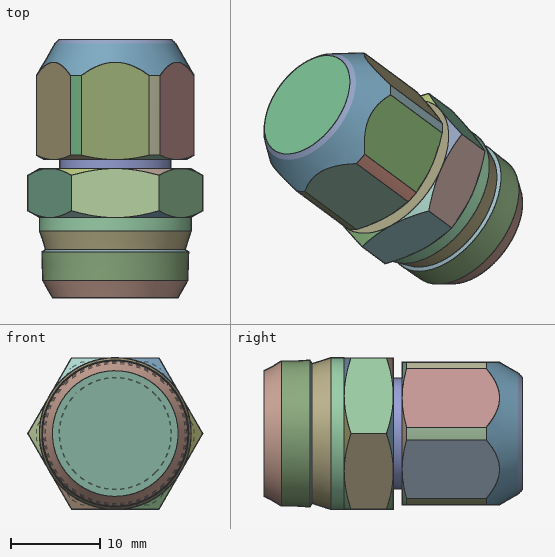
import cadquery as cq
import math


SPIGOT_CHAMFER_END = 1.95
SPIGOT_END = 5.15
SEAL_CONE_START = 5.4
SEAL_CONE_END = 7.5
BODY_HEX_START = 9.0
BODY_HEX_END = 14.5
NUT_START = 15.5
TOTAL_LENGTH = 29.0

SPIGOT_TIP_RADIUS = 7.05
SPIGOT_FRONT_RADIUS = 8.15
SPIGOT_REAR_RADIUS = 8.25
SEAL_CONE_SMALL_RADIUS = 7.85
COLLAR_RADIUS = 8.525
NECK_RADIUS = 6.25

BODY_ACROSS_FLATS = 17.0
NUT_ACROSS_FLATS = 16.0
NUT_CORNER_RADIUS = 8.86
HEX_CHAMFER_ANGLE = 30.0

NUT_RIM_RADIUS = 6.8
NUT_RIM_CHAMFER = 0.5
NUT_TAPER_ANGLE = 30.0


def tan_deg(angle):
    return math.tan(math.radians(angle))


def revolve_about_y(profile):
    """Turn (radius, y) points, closed along the axis, into a solid of revolution."""
    axis_closed = [(0, profile[0][1])] + profile + [(0, profile[-1][1])]
    return cq.Workplane("XY").polyline(axis_closed).close().revolve(360, (0, 0), (0, 1))


def hex_corner_radius(across_flats):
    """Distance from the axis to a sharp corner of a hexagon."""
    return across_flats / math.sqrt(3)


def hex_prism(across_flats, y_start, y_end):
    """Hexagonal prism along Y with two flats facing +Z and -Z."""
    return (
        cq.Workplane("XZ", origin=(0, y_start, 0))
        .polygon(6, 2 * hex_corner_radius(across_flats))
        .extrude(y_start - y_end)
    )


def make_turned_core():
    """Spigot, sealing cone, collar and the neck that enters the nut."""
    return revolve_about_y([
        (SPIGOT_TIP_RADIUS, 0),
        (SPIGOT_FRONT_RADIUS, SPIGOT_CHAMFER_END),
        (SPIGOT_REAR_RADIUS, SPIGOT_END),
        (SEAL_CONE_SMALL_RADIUS, SEAL_CONE_START),
        (COLLAR_RADIUS, SEAL_CONE_END),
        (COLLAR_RADIUS, BODY_HEX_START),
        (NECK_RADIUS, BODY_HEX_START),
        (NECK_RADIUS, NUT_START),
    ])


def make_body_hex():
    """Sharp-cornered hexagon with its corners chamfered at both ends."""
    flat_radius = BODY_ACROSS_FLATS / 2
    corner_radius = hex_corner_radius(BODY_ACROSS_FLATS)
    chamfer_length = (corner_radius - flat_radius) * tan_deg(HEX_CHAMFER_ANGLE)
    envelope = revolve_about_y([
        (flat_radius, BODY_HEX_START),
        (corner_radius, BODY_HEX_START + chamfer_length),
        (corner_radius, BODY_HEX_END - chamfer_length),
        (flat_radius, BODY_HEX_END),
    ])
    return hex_prism(BODY_ACROSS_FLATS, BODY_HEX_START, BODY_HEX_END).intersect(envelope)


def make_nut():
    """Hexagon nut with turned corners, a chamfered inner end and a tapered outer end."""
    flat_radius = NUT_ACROSS_FLATS / 2
    chamfer_length = (NUT_CORNER_RADIUS - flat_radius) * tan_deg(HEX_CHAMFER_ANGLE)
    rim_y = TOTAL_LENGTH - NUT_RIM_CHAMFER
    taper_length = (NUT_CORNER_RADIUS - NUT_RIM_RADIUS) / tan_deg(NUT_TAPER_ANGLE)
    envelope = revolve_about_y([
        (flat_radius, NUT_START),
        (NUT_CORNER_RADIUS, NUT_START + chamfer_length),
        (NUT_CORNER_RADIUS, rim_y - taper_length),
        (NUT_RIM_RADIUS, rim_y),
        (NUT_RIM_RADIUS - NUT_RIM_CHAMFER, TOTAL_LENGTH),
    ])
    return hex_prism(NUT_ACROSS_FLATS, NUT_START, TOTAL_LENGTH).intersect(envelope)


result = make_turned_core().union(make_body_hex()).union(make_nut())